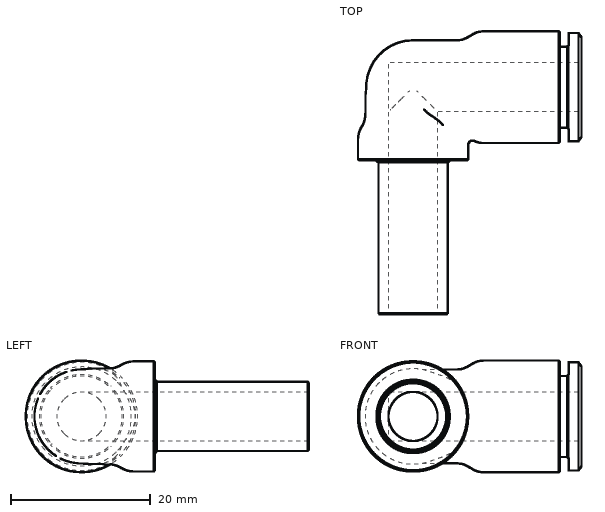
import cadquery as cq
import math


elbow_radius = 6.72
dome_end_y = 0.53
neck_flat_length = 2.55
neck_corner_radius = 3.25
neck_fillet = 2.9

crotch_fillet = 0.6
crotch_start_x = 4.45

body_radius = 6.85
body_top_y = -1.2
body_bottom_y = -3.75
flange_radius = 15.8 / 2
flange_top_y = -7.57
flange_bottom_y = -10.5
flange_chamfer = 0.2
flare_mid_y = -5.45
flare_mid_radius = 7.25
flare_radius = 3.75

stem_radius = 9.95 / 2
stem_chamfer = 0.25
collar_radius = 5.25
collar_length = 0.3

socket_radius = 16.0 / 2
overall_length_y = 40.5
stem_end_y = socket_radius - overall_length_y
shoulder_arc_x = 8.55
socket_start_x = 10.05
shoulder_rounding = 2.9
shoulder_slope = math.asin((socket_start_x - shoulder_arc_x) / shoulder_rounding)
shoulder_start_radius = 5.25
shoulder_arc_radius = socket_radius - shoulder_rounding * (1 - math.cos(shoulder_slope))
shoulder_start_x = shoulder_arc_x - (shoulder_arc_radius - shoulder_start_radius) / math.tan(shoulder_slope)
socket_end_x = 21.0
socket_chamfer = 0.25

ring_neck_radius = 11.62 / 2
ring_cap_radius = 15.5 / 2
ring_cap_start_x = 22.25
ring_cone = 0.2
ring_end_x = 24.1
ring_chamfer_length = 0.5
ring_chamfer_height = 0.65

edge_margin = 0.05

bore_radius = 7.0 / 2


def make_stem():
    """Dome, flared body, flange and tube, turned about the Y axis."""
    dome_end_radius = math.sqrt(elbow_radius**2 - dome_end_y**2)
    profile = (
        cq.Workplane("XY")
        .moveTo(0, elbow_radius)
        .radiusArc((dome_end_radius, dome_end_y), elbow_radius)
        .lineTo(body_radius, body_top_y)
        .lineTo(body_radius, body_bottom_y)
        .radiusArc((flare_mid_radius, flare_mid_y), -flare_radius)
        .radiusArc((flange_radius, flange_top_y), flare_radius)
        .lineTo(flange_radius, flange_bottom_y + flange_chamfer)
        .lineTo(flange_radius - flange_chamfer, flange_bottom_y)
        .lineTo(collar_radius, flange_bottom_y)
        .lineTo(stem_radius, flange_bottom_y - collar_length)
        .lineTo(stem_radius, stem_end_y + stem_chamfer)
        .lineTo(stem_radius - stem_chamfer, stem_end_y)
        .lineTo(0, stem_end_y)
        .close()
    )
    return profile.revolve(360, (0, 0), (0, 1))


def make_neck():
    """Bar along X: half round above the axis, straight sides and rounded corners below."""
    bottom_y = -neck_flat_length - neck_corner_radius
    corner_z = elbow_radius - neck_corner_radius
    section = (
        cq.Workplane("YZ")
        .moveTo(0, elbow_radius)
        .threePointArc((elbow_radius, 0), (0, -elbow_radius))
        .lineTo(-neck_flat_length, -elbow_radius)
        .radiusArc((bottom_y, -corner_z), neck_corner_radius)
        .lineTo(bottom_y, corner_z)
        .radiusArc((-neck_flat_length, elbow_radius), neck_corner_radius)
        .close()
    )
    return section.extrude(socket_start_x)


def make_socket():
    """Shoulder, socket barrel and release ring, turned about the X axis."""
    profile = (
        cq.Workplane("XY")
        .moveTo(shoulder_start_x, 0)
        .lineTo(shoulder_start_x, shoulder_start_radius)
        .lineTo(shoulder_arc_x, shoulder_arc_radius)
        .radiusArc((socket_start_x, socket_radius), shoulder_rounding)
        .lineTo(socket_end_x - socket_chamfer, socket_radius)
        .lineTo(socket_end_x, socket_radius - socket_chamfer)
        .lineTo(socket_end_x, ring_neck_radius)
        .lineTo(ring_cap_start_x - ring_cone, ring_neck_radius)
        .lineTo(ring_cap_start_x, ring_neck_radius + ring_cone)
        .lineTo(ring_cap_start_x, ring_cap_radius)
        .lineTo(ring_end_x - ring_chamfer_length, ring_cap_radius)
        .lineTo(ring_end_x, ring_cap_radius - ring_chamfer_height)
        .lineTo(ring_end_x, 0)
        .close()
    )
    return profile.revolve(360, (0, 0), (1, 0))


def make_bores():
    """Stem bore meeting the socket bore in the elbow."""
    stem_bore = cq.Workplane("XZ").circle(bore_radius).extrude(-stem_end_y)
    socket_bore = (
        cq.Workplane("YZ").workplane(offset=-bore_radius).circle(bore_radius).extrude(ring_end_x + bore_radius)
    )
    return stem_bore.union(socket_bore)


def make_branch():
    """Neck and socket joined, with the inside corner between them rounded."""
    branch = make_neck().union(make_socket())
    size = 2 * socket_radius
    meeting_lines = cq.selectors.BoxSelector(
        (shoulder_start_x - edge_margin, -size, -size), (socket_start_x - edge_margin, size, size), boundingbox=True
    )
    shoulder_circle = cq.selectors.BoxSelector(
        (shoulder_arc_x - edge_margin, -size, -size), (shoulder_arc_x + edge_margin, size, size), boundingbox=True
    )
    return branch.edges(meeting_lines - shoulder_circle).fillet(neck_fillet)


def make_body():
    """Stem and branch joined, with the inside corner under the neck rounded."""
    body = make_stem().union(make_branch())
    crotch = cq.selectors.BoxSelector(
        (crotch_start_x, flange_top_y, -body_radius),
        (flange_radius, flare_mid_y + edge_margin, body_radius),
        boundingbox=True,
    )
    return body.edges(crotch).fillet(crotch_fillet)


result = make_body().cut(make_bores())